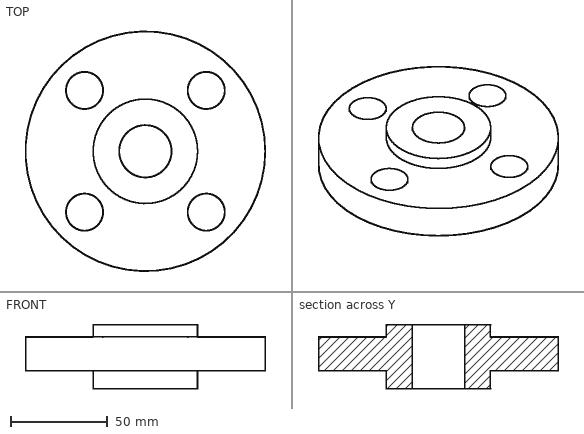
import cadquery as cq

flange_diameter = 123.95
flange_thickness = 17.53

hub_diameter = 53.98
raised_face_height = 6.35
overall_height = 33.27
hub_height = overall_height - flange_thickness - raised_face_height

bore_diameter = 26.92
bolt_hole_diameter = 19.05
bolt_circle_diameter = 88.9
bolt_count = 4
first_bolt_angle = 45.0


def disc(diameter, bottom, height):
    """Solid disc on the Z axis, rising from the given level."""
    return cq.Workplane("XY").workplane(offset=bottom).circle(diameter / 2).extrude(height)


def bolt_holes():
    """Cutters for the bolt holes, evenly spaced on the bolt circle."""
    return (
        cq.Workplane("XY")
        .polarArray(bolt_circle_diameter / 2, first_bolt_angle, 360, bolt_count)
        .circle(bolt_hole_diameter / 2)
        .extrude(overall_height)
    )


hub_and_raised_face = disc(hub_diameter, 0, overall_height)
plate = disc(flange_diameter, hub_height, flange_thickness)
bore = disc(bore_diameter, 0, overall_height)

result = plate.union(hub_and_raised_face).cut(bore).cut(bolt_holes())